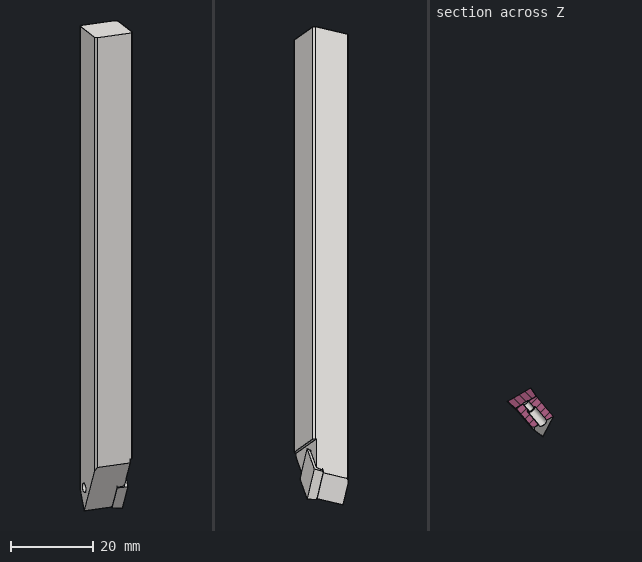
import cadquery as cq
import math

TOTAL_LENGTH = 125.0
OVERALL_WIDTH = 10.5
OVERALL_DEPTH = 10.1

INSERT_CORNER_ANGLE = 55.0
INSERT_HALF_LENGTH = 6.8
INSERT_THICKNESS = 2.8
CLEARANCE_ANGLE = 5.0
HALF_ANGLE = math.radians(INSERT_CORNER_ANGLE / 2)
INSERT_HALF_WIDTH = INSERT_HALF_LENGTH * math.tan(HALF_ANGLE)

SHANK_SIZE = 10.0
EDGE_CHAMFER = 0.5
SHANK_RIGHT = OVERALL_WIDTH - INSERT_HALF_WIDTH
SHANK_LEFT = SHANK_RIGHT - SHANK_SIZE
SHANK_FRONT = -OVERALL_DEPTH
SHANK_BACK = SHANK_FRONT + SHANK_SIZE

NOSE_Z = 0.8

HEAD_TOP_Z = 15.1
HEAD_RECESS = 0.8

SCREW_HOLE_DIAMETER = 1.5
COUNTERBORE_DIAMETER = 2.2
COUNTERBORE_DEPTH = 5.0


def flank_z(x):
    """Height of the nose flank at a given X."""
    return NOSE_Z + abs(x) / math.tan(HALF_ANGLE)


def make_insert():
    """Diamond plate whose flanks taper inward from the top face to the seated face."""
    outline = [
        (0, 0),
        (INSERT_HALF_WIDTH, INSERT_HALF_LENGTH),
        (0, 2 * INSERT_HALF_LENGTH),
        (-INSERT_HALF_WIDTH, INSERT_HALF_LENGTH),
    ]
    return (
        cq.Workplane("XZ")
        .polyline(outline)
        .close()
        .extrude(INSERT_THICKNESS, taper=CLEARANCE_ANGLE)
    )


def make_shank():
    """Square bar with all four long edges chamfered."""
    return (
        cq.Workplane("XY")
        .box(SHANK_SIZE, SHANK_SIZE, TOTAL_LENGTH, centered=False)
        .edges("|Z")
        .chamfer(EDGE_CHAMFER)
        .translate((SHANK_LEFT, SHANK_FRONT, 0))
    )


def make_nose_profile():
    """Bar pointed at its lower end, used to trim the shank."""
    outline = [
        (0, NOSE_Z),
        (SHANK_RIGHT, flank_z(SHANK_RIGHT)),
        (SHANK_RIGHT, TOTAL_LENGTH),
        (SHANK_LEFT, TOTAL_LENGTH),
        (SHANK_LEFT, flank_z(SHANK_LEFT)),
    ]
    return (
        cq.Workplane("XZ", origin=(0, SHANK_BACK, 0))
        .polyline(outline)
        .close()
        .extrude(SHANK_SIZE)
    )


def make_head_recess():
    """Material removed across the full width of the +Y face at the head."""
    return (
        cq.Workplane("XY")
        .box(SHANK_SIZE, HEAD_RECESS, HEAD_TOP_Z, centered=False)
        .translate((SHANK_LEFT, SHANK_BACK - HEAD_RECESS, 0))
    )


def make_screw_hole():
    """Hole below the centre of the insert, counterbored from the front face."""
    hole = (
        cq.Workplane("XZ", origin=(0, -INSERT_THICKNESS, INSERT_HALF_LENGTH))
        .circle(SCREW_HOLE_DIAMETER / 2)
        .extrude(OVERALL_DEPTH - INSERT_THICKNESS)
    )
    counterbore = (
        cq.Workplane("XZ", origin=(0, SHANK_FRONT, INSERT_HALF_LENGTH))
        .circle(COUNTERBORE_DIAMETER / 2)
        .extrude(-COUNTERBORE_DEPTH)
    )
    return hole.union(counterbore)


insert = make_insert()
holder = (
    make_shank()
    .intersect(make_nose_profile())
    .cut(make_head_recess())
    .cut(insert)
    .cut(make_screw_hole())
)

result = cq.Compound.makeCompound([holder.val(), insert.val()])